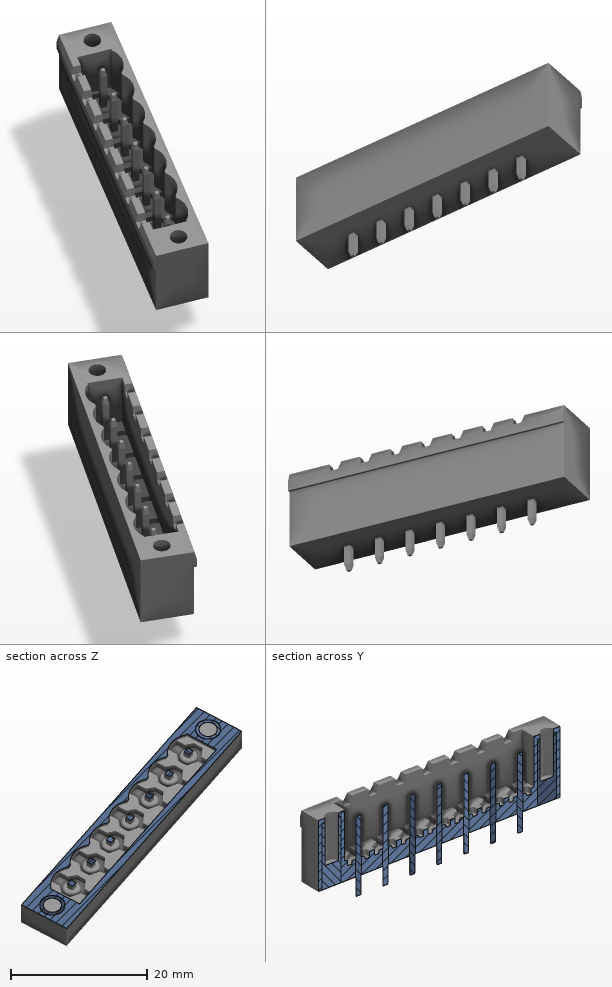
import cadquery as cq
import math

pitch = 5.08
pin_count = 7
pin_positions = [(i - (pin_count - 1) / 2) * pitch for i in range(pin_count)]

housing_length = (pin_count + 2) * pitch
housing_height = 12.0
overall_depth = 8.5
back_y = 3.8
lip_y = back_y - overall_depth
lip_overhang = 0.4
front_y = lip_y + lip_overhang
lip_bottom_z = housing_height - 2.9
bevel_bottom_z = housing_height - 1.35

cavity_floor_z = 3.5
cavity_end_offset = 2.58
cavity_half_length = pin_positions[-1] + cavity_end_offset
cavity_front_y = lip_y + 1.55
scallop_top_y = back_y - 0.8
scallop_rise = 0.9
scallop_half_width = 2.3
scallop_base_y = scallop_top_y - scallop_rise

recess_depth = 1.0
recess_floor_z = cavity_floor_z - recess_depth
recess_half_width = 2.05
recess_side_top_y = 0.45
recess_side_bottom_y = -1.1
rear_slot_half_width = 1.05
rear_slot_start_y = 1.35
front_slot_half_width = 0.5
front_slot_start_y = -2.0

collar_base_diameter = 2.75
collar_top_diameter = 1.8
collar_height = 0.6
collar_edge_radius = (collar_base_diameter - collar_top_diameter) / 2

notch_top_width = 2.0
notch_bottom_width = 1.35

pin_width = 1.0
pin_bottom_z = -4.0
pin_top_z = 10.95
lower_taper_length = 0.9
lower_tip_width = 0.5
upper_taper_length = 1.0
upper_tip_width = 0.55

insert_positions = [side * (pin_count + 1) / 2 * pitch for side in (-1, 1)]
insert_bore_diameter = 2.6
insert_outer_diameter = 3.6
insert_top_z = housing_height - 0.85
bore_floor_z = 4.0


def housing_block():
    """Block with a bevelled lip along the top of its front face."""
    return (
        cq.Workplane("YZ")
        .moveTo(back_y, 0)
        .lineTo(back_y, housing_height)
        .lineTo(front_y, housing_height)
        .lineTo(lip_y, bevel_bottom_z)
        .lineTo(lip_y, lip_bottom_z)
        .lineTo(front_y, lip_bottom_z)
        .lineTo(front_y, 0)
        .close()
        .extrude(housing_length / 2, both=True)
    )


def cavity():
    """Plug cavity, open at the top."""
    outline = (
        cq.Workplane("XY", origin=(0, 0, cavity_floor_z))
        .moveTo(-cavity_half_length, cavity_front_y)
        .lineTo(-cavity_half_length, scallop_base_y)
    )
    for x in pin_positions:
        outline = outline.lineTo(x - scallop_half_width, scallop_base_y).threePointArc(
            (x, scallop_top_y), (x + scallop_half_width, scallop_base_y)
        )
    return (
        outline.lineTo(cavity_half_length, scallop_base_y)
        .lineTo(cavity_half_length, cavity_front_y)
        .close()
        .extrude(housing_height - cavity_floor_z)
    )


def scallop_y(x_offset):
    """Y of the scalloped back wall at a distance from the pin centre."""
    radius = (scallop_half_width**2 + scallop_rise**2) / (2 * scallop_rise)
    return scallop_top_y - radius + math.sqrt(radius**2 - x_offset**2)


def recess(x):
    """Keyhole recess with a wide rear slot and a narrow front slot."""
    rear_corner_y = scallop_y(rear_slot_half_width)
    return (
        cq.Workplane("XY", origin=(x, 0, recess_floor_z))
        .moveTo(rear_slot_half_width, rear_corner_y)
        .lineTo(rear_slot_half_width, rear_slot_start_y)
        .lineTo(recess_half_width, recess_side_top_y)
        .lineTo(recess_half_width, recess_side_bottom_y)
        .lineTo(front_slot_half_width, front_slot_start_y)
        .lineTo(front_slot_half_width, cavity_front_y)
        .lineTo(-front_slot_half_width, cavity_front_y)
        .lineTo(-front_slot_half_width, front_slot_start_y)
        .lineTo(-recess_half_width, recess_side_bottom_y)
        .lineTo(-recess_half_width, recess_side_top_y)
        .lineTo(-rear_slot_half_width, rear_slot_start_y)
        .lineTo(-rear_slot_half_width, rear_corner_y)
        .threePointArc((0, scallop_top_y), (rear_slot_half_width, rear_corner_y))
        .close()
        .extrude(recess_depth)
    )


def collar(x):
    """Collar with a rounded top edge standing on the recess floor."""
    return (
        cq.Workplane("XY", origin=(x, 0, recess_floor_z))
        .circle(collar_base_diameter / 2)
        .extrude(collar_height)
        .faces(">Z")
        .edges()
        .fillet(collar_edge_radius)
    )


def notch(x):
    """Tapered coding notch from the cavity out through the lip."""
    return (
        cq.Workplane("XZ", origin=(x, cavity_front_y, 0))
        .moveTo(-notch_top_width / 2, housing_height)
        .lineTo(notch_top_width / 2, housing_height)
        .lineTo(notch_bottom_width / 2, bevel_bottom_z)
        .lineTo(-notch_bottom_width / 2, bevel_bottom_z)
        .close()
        .extrude(cavity_front_y - lip_y)
    )


def square_taper(x, start_z, start_width, end_z, end_width):
    """Square frustum along Z between two widths."""
    return (
        cq.Workplane("XY", origin=(x, 0, start_z))
        .rect(start_width, start_width)
        .workplane(offset=end_z - start_z)
        .rect(end_width, end_width)
        .loft()
    )


def contact_pin(x):
    """Square pin with a tapered tip at each end."""
    shank_bottom_z = pin_bottom_z + lower_taper_length
    shank_top_z = pin_top_z - upper_taper_length
    shank = (
        cq.Workplane("XY", origin=(x, 0, shank_bottom_z))
        .rect(pin_width, pin_width)
        .extrude(shank_top_z - shank_bottom_z)
    )
    lower_tip = square_taper(x, pin_bottom_z, lower_tip_width, shank_bottom_z, pin_width)
    upper_tip = square_taper(x, shank_top_z, pin_width, pin_top_z, upper_tip_width)
    return shank.union(lower_tip).union(upper_tip)


def insert_bore(x):
    """Blind screw bore shared by the housing and the insert."""
    return (
        cq.Workplane("XY", origin=(x, 0, bore_floor_z))
        .circle(insert_bore_diameter / 2)
        .extrude(housing_height - bore_floor_z)
    )


def insert_envelope(x):
    """Plain cylinder that the insert fills from the underside."""
    return cq.Workplane("XY", origin=(x, 0, 0)).circle(insert_outer_diameter / 2).extrude(insert_top_z)


def threaded_insert(x):
    """Closed-bottom bushing pressed in from the underside of the housing."""
    return insert_envelope(x).cut(insert_bore(x))


pins = [contact_pin(x) for x in pin_positions]

inserts = [threaded_insert(x) for x in insert_positions]

housing = housing_block().cut(cavity())
for x, pin in zip(pin_positions, pins):
    housing = housing.cut(recess(x)).cut(notch(x)).union(collar(x)).cut(pin)
for x in insert_positions:
    housing = housing.cut(insert_envelope(x)).cut(insert_bore(x))

result = cq.Compound.makeCompound(
    [
        housing.val(),
        *[pin.val() for pin in pins],
        *[insert.val() for insert in inserts],
    ]
)